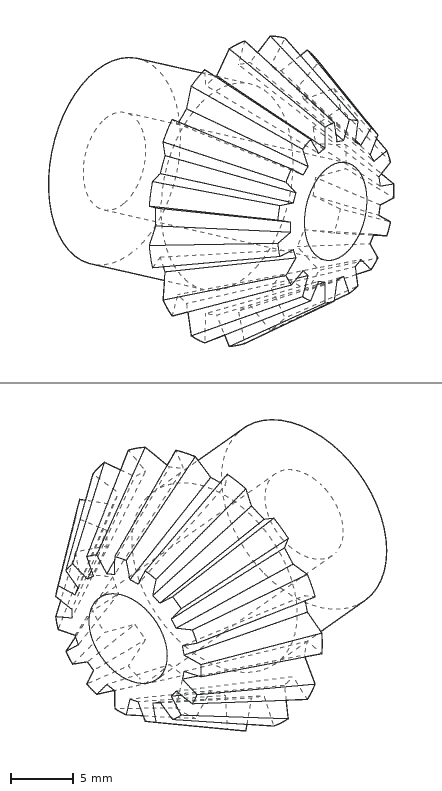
import cadquery as cq
import math

hub_length = 11.6
tip_position = 13.69
total_length = 22.8

bore_radius = 4.0
hub_radius = 8.48
tip_radius = 12.7
front_radius = 7.5
root_radius = 10.3

tooth_count = 15
tooth_pitch = 360 / tooth_count
root_half_width = 0.75
tip_half_width = 1.65

tip_cone_slope = (tip_radius - front_radius) / (total_length - tip_position)
apex_position = tip_position + tip_radius / tip_cone_slope
back_cone_slope = (tip_position - hub_length) / (tip_radius - hub_radius)
root_position = hub_length + (root_radius - hub_radius) * back_cone_slope

overreach = 1.2


def make_blank():
    """Hub, back cone and tip cone with the bore, turned about the X axis."""
    return (
        cq.Workplane("XY")
        .moveTo(0, bore_radius)
        .lineTo(0, hub_radius)
        .lineTo(hub_length, hub_radius)
        .lineTo(tip_position, tip_radius)
        .lineTo(total_length, front_radius)
        .lineTo(total_length, bore_radius)
        .close()
        .revolve(360, (0, 0, 0), (1, 0, 0))
    )


def make_tooth_space():
    """Pyramid on the -Y side with its floor and flanks meeting at the apex."""
    root_scale = (apex_position - tip_position) / (apex_position - root_position)
    floor_radius = root_radius * root_scale
    floor_half = root_half_width * root_scale
    edge_radius = math.sqrt(tip_radius**2 - tip_half_width**2)
    flank_slope = (tip_half_width - floor_half) / (edge_radius - floor_radius)
    outer_radius = tip_radius * overreach
    outer_half = floor_half + (outer_radius - floor_radius) * flank_slope

    def section(position):
        scale = (apex_position - position) / (apex_position - tip_position)
        corners = [
            (-floor_radius, -floor_half),
            (-outer_radius, -outer_half),
            (-outer_radius, outer_half),
            (-floor_radius, floor_half),
        ]
        return cq.Wire.makePolygon(
            [cq.Vector(position, y * scale, z * scale) for y, z in corners], close=True
        )

    back = hub_length
    front = total_length * overreach
    return cq.Solid.makeLoft([section(back), section(front)], True)


result = make_blank()
tooth_space = make_tooth_space()
for index in range(tooth_count):
    turned_space = tooth_space.rotate(cq.Vector(0, 0, 0), cq.Vector(1, 0, 0), index * tooth_pitch)
    result = result.cut(cq.Workplane(turned_space))